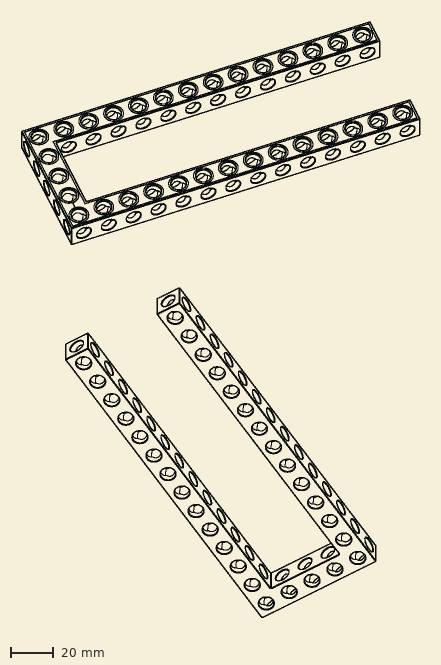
import cadquery as cq

LENGTH = 175.0
CELLS_LONG = 14
CELLS_WIDE = 5
HOLE_DIAMETER = 7.0
EDGE_CHAMFER = 0.3
RIM_WIDTH = 1.1
RECESS_DEPTH = 0.2
RIB_WIDTH = 0.1

PITCH = LENGTH / CELLS_LONG
WIDTH = CELLS_WIDE * PITCH
HEIGHT = PITCH
HOLE_RADIUS = HOLE_DIAMETER / 2
RIM_RADIUS = HOLE_RADIUS + RIM_WIDTH

COLUMN_X = [(i - (CELLS_WIDE - 1) / 2) * PITCH for i in range(CELLS_WIDE)]
ROW_Y = [(j - (CELLS_LONG - 1) / 2) * PITCH for j in range(CELLS_LONG)]
ARM_CELLS = [(x, y) for x in (COLUMN_X[0], COLUMN_X[-1]) for y in ROW_Y]
CROSSBAR_CELLS = [(x, ROW_Y[0]) for x in COLUMN_X[1:-1]]


def u_plate(inset, bottom, height):
    """U-shaped plate, open toward +Y, with its whole outline drawn in by the inset."""
    outer_x = WIDTH / 2 - inset
    inner_x = WIDTH / 2 - PITCH + inset
    end_y = LENGTH / 2 - inset
    back_y = -LENGTH / 2 + inset
    notch_y = -LENGTH / 2 + PITCH - inset
    outline = [
        (-outer_x, back_y),
        (outer_x, back_y),
        (outer_x, end_y),
        (inner_x, end_y),
        (inner_x, notch_y),
        (-inner_x, notch_y),
        (-inner_x, end_y),
        (-outer_x, end_y),
    ]
    return cq.Workplane("XY", origin=(0, 0, bottom)).polyline(outline).close().extrude(height)


def upright_cylinders(radius, bottom, height):
    """One cylinder along Z in every cell of the U."""
    base = cq.Workplane("XY", origin=(0, 0, bottom))
    return base.pushPoints(ARM_CELLS + CROSSBAR_CELLS).circle(radius).extrude(height)


def holes_along_x():
    """Cylinders through both arms, the first running the length of the crossbar."""
    centres = cq.Workplane("YZ").pushPoints([(y, 0) for y in ROW_Y])
    return centres.circle(HOLE_RADIUS).extrude(WIDTH / 2, both=True)


def holes_along_y():
    """Cylinders through the crossbar, the outer two running the length of the arms."""
    centres = cq.Workplane("XZ").pushPoints([(x, 0) for x in COLUMN_X])
    return centres.circle(HOLE_RADIUS).extrude(LENGTH / 2, both=True)


def rib(floor):
    """Thin rib joining the rims of the last two crossbar holes, with its ends inside the rims."""
    middle_x = (COLUMN_X[-2] + COLUMN_X[-1]) / 2
    rib_length = PITCH - 2 * HOLE_RADIUS
    base = cq.Workplane("XY", origin=(middle_x, ROW_Y[0], floor))
    return base.rect(rib_length, RIB_WIDTH).extrude(RECESS_DEPTH)


def top_recess():
    """Shallow pocket in the top face, leaving a rim along the edges, one around each hole and the rib."""
    floor = HEIGHT / 2 - RECESS_DEPTH
    pocket = u_plate(RIM_WIDTH, floor, RECESS_DEPTH)
    return pocket.cut(upright_cylinders(RIM_RADIUS, floor, RECESS_DEPTH)).cut(rib(floor))


result = u_plate(0, -HEIGHT / 2, HEIGHT).edges().chamfer(EDGE_CHAMFER)

result = result.cut(upright_cylinders(HOLE_RADIUS, -HEIGHT / 2, HEIGHT))
result = result.cut(holes_along_x()).cut(holes_along_y())
result = result.edges("%CIRCLE").chamfer(EDGE_CHAMFER)

result = result.cut(top_recess())